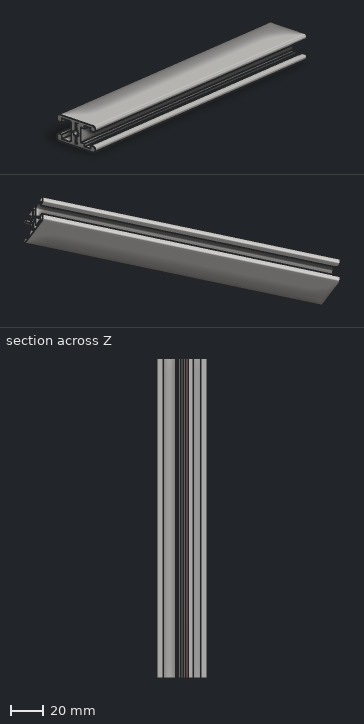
import cadquery as cq

WIDTH = 32.0
LENGTH = 200.0
HEIGHT = 18.0
WALL = 2.0

LEFT_LIP = 4.25
LEFT_MOUTH = 8.0
LEFT_CORNER_RADIUS = 1.8

RIGHT_MOUTH = 10.0
UNDERCUT_START = 7.0
UNDERCUT_END = 11.75

WEB_WIDTH = 8.0
SLIT_WIDTH = 1.6
BORE_DIAMETER = 4.2
MARK_WIDTH = 1.0
MARK_DEPTH = 0.7

EDGE_RADIUS = 2.0
LIP_RADIUS = 1.5

HALF_WIDTH = WIDTH / 2
HALF_WEB = WEB_WIDTH / 2
CHAMBER_HEIGHT = HEIGHT - 2 * WALL


def bar(x_start, x_end, height):
    """Full-length block between two X positions, centred on Y and Z."""
    block = cq.Workplane("XY").box(x_end - x_start, LENGTH, height)
    return block.translate(((x_start + x_end) / 2, 0, 0))


def section_plane():
    """XZ sketch plane placed so that an extrusion of LENGTH is centred on Y."""
    return cq.Workplane("XZ", origin=(0, LENGTH / 2, 0))


def left_slot():
    chamber = bar(LEFT_LIP - HALF_WIDTH, -HALF_WEB, CHAMBER_HEIGHT)
    chamber = chamber.edges("|Y and >X").fillet(LEFT_CORNER_RADIUS)
    return chamber.union(bar(-HALF_WIDTH, -HALF_WEB, LEFT_MOUTH))


def right_channel():
    undercut = bar(UNDERCUT_START, UNDERCUT_END, CHAMBER_HEIGHT)
    return bar(HALF_WEB, HALF_WIDTH, RIGHT_MOUTH).union(undercut)


def web_opening():
    slit = section_plane().rect(SLIT_WIDTH, CHAMBER_HEIGHT).extrude(LENGTH)
    bore = section_plane().circle(BORE_DIAMETER / 2).extrude(LENGTH)
    return slit.union(bore)


def web_mark():
    """V groove along the middle of the left web face."""
    corners = [
        (-HALF_WEB, -MARK_WIDTH / 2),
        (MARK_DEPTH - HALF_WEB, 0),
        (-HALF_WEB, MARK_WIDTH / 2),
    ]
    return section_plane().polyline(corners).close().extrude(LENGTH)


def sharp_profile():
    block = bar(-HALF_WIDTH, HALF_WIDTH, HEIGHT)
    return block.cut(left_slot()).cut(right_channel())


def round_side_edges(profile):
    """Round the lips of both mouths, then the four outer corners."""
    side_edges = profile.edges("|Y").edges("<X or >X")
    lip_edges = side_edges.edges("not (<Z or >Z)")
    profile = lip_edges.fillet(LIP_RADIUS)
    corner_edges = profile.edges("|Y").edges("<Z or >Z")
    return corner_edges.fillet(EDGE_RADIUS)


result = round_side_edges(sharp_profile()).cut(web_opening()).cut(web_mark())